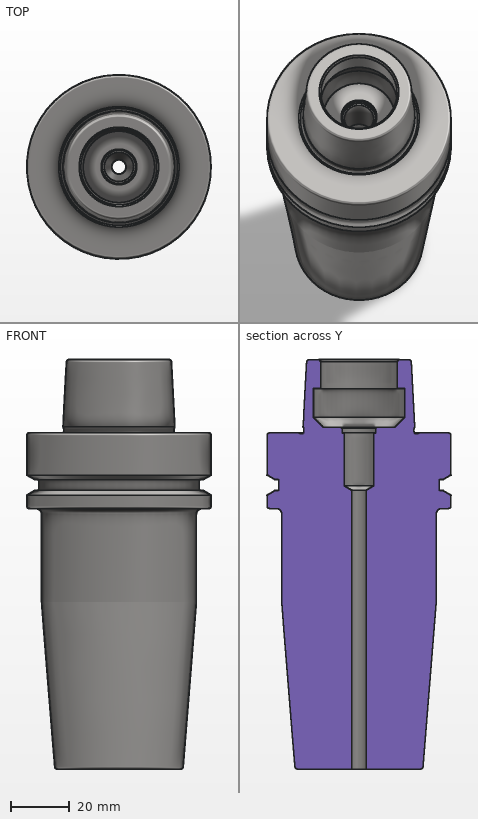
import cadquery as cq
import math

ARC_INSET = 1 - math.sqrt(0.5)

spigot_height = 25.0
spigot_tip_radius = 18.0
spigot_half_slope = 1 / 20
spigot_tip_fillet = 1.0
spigot_base_height = 2.0

neck_radius = 18.9
neck_top_height = 1.2
neck_fillet = 0.7
relief_depth = 0.3
relief_floor_radius = 20.0
relief_radius = 20.6

flange_radius = 31.5
flange_height = 26.0
flange_fillet = 1.0
groove_radius = 27.5
groove_top_depth = 14.5
groove_bottom_depth = 21.3
groove_flank_angle = 30.0
groove_shoulder_radius = 28.8
groove_fillet = 0.4

body_length = 115.0
body_radius = 26.5
body_fillet = 1.8
cone_start_depth = 57.8
nose_radius = 22.0
nose_fillet = 1.0

bore_radius = 13.0
bore_chamfer_width = 0.6
bore_chamfer_height = 0.75
bore_depth = 10.0
cavity_radius = 15.5
cavity_depth = 19.8
funnel_floor_radius = 12.2
funnel_slope_angle = 45.0
recess_radius = 5.7
recess_chamfer = 0.4
recess_depth = 2.0
screw_radius = 5.0
screw_depth = 20.0
drill_half_angle = 59.0
through_radius = 2.4


def make_outside():
    """Revolved solid outside shape: spigot, flange and tapered body."""
    spigot_base_radius = spigot_tip_radius + spigot_half_slope * (spigot_height - spigot_base_height)
    tip_inset = spigot_tip_fillet * ARC_INSET
    neck_inset = neck_fillet * ARC_INSET
    flange_inset = flange_fillet * ARC_INSET
    body_inset = body_fillet * ARC_INSET
    nose_inset = nose_fillet * ARC_INSET
    profile = (
        cq.Workplane("XZ")
        .moveTo(0, spigot_height)
        .lineTo(spigot_tip_radius - spigot_tip_fillet, spigot_height)
        .threePointArc(
            (spigot_tip_radius - tip_inset, spigot_height - tip_inset),
            (spigot_tip_radius, spigot_height - spigot_tip_fillet),
        )
        .lineTo(spigot_base_radius, spigot_base_height)
        .lineTo(neck_radius, neck_top_height)
        .lineTo(neck_radius, neck_fillet - relief_depth)
        .threePointArc(
            (neck_radius + neck_inset, neck_inset - relief_depth),
            (neck_radius + neck_fillet, -relief_depth),
        )
        .lineTo(relief_floor_radius, -relief_depth)
        .lineTo(relief_radius, 0)
        .lineTo(flange_radius - flange_fillet, 0)
        .threePointArc(
            (flange_radius - flange_inset, -flange_inset),
            (flange_radius, -flange_fillet),
        )
        .lineTo(flange_radius, -flange_height + flange_fillet)
        .threePointArc(
            (flange_radius - flange_inset, -flange_height + flange_inset),
            (flange_radius - flange_fillet, -flange_height),
        )
        .lineTo(body_radius + body_fillet, -flange_height)
        .threePointArc(
            (body_radius + body_inset, -flange_height - body_inset),
            (body_radius, -flange_height - body_fillet),
        )
        .lineTo(body_radius, -cone_start_depth)
        .lineTo(nose_radius, -body_length + nose_fillet)
        .threePointArc(
            (nose_radius - nose_inset, -body_length + nose_inset),
            (nose_radius - nose_fillet, -body_length),
        )
        .lineTo(0, -body_length)
        .close()
    )
    return profile.revolve(360, (0, 0, 0), (0, 1, 0))


def make_groove():
    """Ring to cut for the gripper groove, with rounded corners at its floor."""
    flank_height = (flange_radius - groove_shoulder_radius) * math.tan(math.radians(groove_flank_angle))
    slot_top = -groove_top_depth - flank_height
    slot_bottom = -groove_bottom_depth + flank_height
    profile = (
        cq.Workplane("XZ")
        .moveTo(flange_radius, -groove_top_depth)
        .lineTo(groove_shoulder_radius, slot_top)
        .lineTo(groove_radius, slot_top)
        .lineTo(groove_radius, slot_bottom)
        .lineTo(groove_shoulder_radius, slot_bottom)
        .lineTo(flange_radius, -groove_bottom_depth)
        .close()
    )
    ring = profile.revolve(360, (0, 0, 0), (0, 1, 0))
    floor_edges = cq.selectors.RadiusNthSelector(0)
    return ring.edges("%CIRCLE").edges(floor_edges).fillet(groove_fillet)


def make_hollow():
    """Revolved hollow along the axis, from the spigot tip through the nose."""
    bore_end = spigot_height - bore_depth
    cavity_end = spigot_height - cavity_depth
    funnel_height = (cavity_radius - funnel_floor_radius) * math.tan(math.radians(funnel_slope_angle))
    funnel_floor = cavity_end - funnel_height
    recess_floor = funnel_floor - recess_depth
    screw_floor = funnel_floor - screw_depth
    drill_tip_height = (screw_radius - through_radius) / math.tan(math.radians(drill_half_angle))
    profile = (
        cq.Workplane("XZ")
        .moveTo(0, spigot_height)
        .lineTo(bore_radius + bore_chamfer_width, spigot_height)
        .lineTo(bore_radius, spigot_height - bore_chamfer_height)
        .lineTo(bore_radius, bore_end)
        .lineTo(cavity_radius, bore_end)
        .lineTo(cavity_radius, cavity_end)
        .lineTo(funnel_floor_radius, funnel_floor)
        .lineTo(recess_radius + recess_chamfer, funnel_floor)
        .lineTo(recess_radius, funnel_floor - recess_chamfer)
        .lineTo(recess_radius, recess_floor)
        .lineTo(screw_radius, recess_floor)
        .lineTo(screw_radius, screw_floor)
        .lineTo(through_radius, screw_floor - drill_tip_height)
        .lineTo(through_radius, -body_length)
        .lineTo(0, -body_length)
        .close()
    )
    return profile.revolve(360, (0, 0, 0), (0, 1, 0))


result = make_outside().cut(make_groove()).cut(make_hollow())